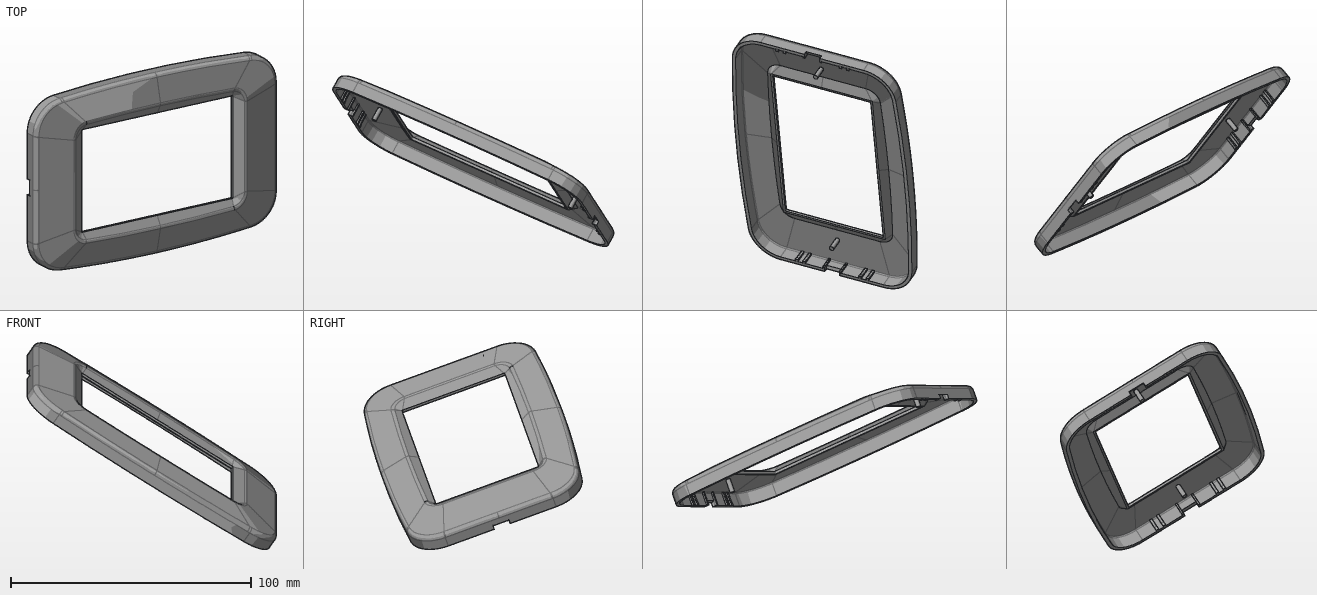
import math

import cadquery as cq

TURN_ABOUT_Y = 33.4
TURN_ABOUT_X = 20.0
FRAME_CENTRE = (-1.41, 0.7, -2.16)

HALF_LENGTH = 60.5
HALF_HEIGHT = 40.0
HALF_STRAIGHT = 23.9
CORNER_RADIUS = 14.15
SKIRT_TOP = 6.2
SKIRT_FILLET = 2.0
WALL = 1.55

RIM_HALF_LENGTH = 42.6
RIM_HALF_HEIGHT = 27.15
RIM_HALF_STRAIGHT = 19.8
RIM_CORNER_RADIUS = 6.4
RIM_HEIGHT = 9.35
RIM_FILLET = 1.9

WINDOW_HALF_LENGTH = 37.65
WINDOW_HALF_HEIGHT = 22.75
WINDOW_CORNER_RADIUS = 0.3
LIP_TOP = 6.8
LIP_BOTTOM = 5.6
LIP_WIDTH = 0.9

CAVITY_WALL_TOP = 5.85
CAVITY_FILLET = 0.5
RIDGE_HEIGHT = 7.7

NOTCH_WIDTH = 7.0
NOTCH_OUTER_DEPTH = 1.8
NOTCH_INNER_DEPTH = 2.3

LEVEL_TOLERANCE = 0.01

RIB_DEPTH = 0.7
RIB_ROOT = 0.3
RIB_FOOT_HEIGHT = 1.8
RIB_FOOT_DEPTH = 1.0
SNAP_RIB_WIDTH = 1.2
SNAP_RIB_OFFSETS = (13.0, 16.4)
NOTCH_RIB_WIDTH = 0.8

POST_OFFSET = 47.7
POST_DIAMETER = 2.0
POST_BOTTOM = 1.4


def bowed_outline(half_length, half_height, half_straight, radius, height):
    """Closed outline with straight short sides, round corners and bowed long sides.

    The bow is the arc that meets both corner arcs smoothly; every side is split at its middle.
    """
    corner_x = half_length - radius
    rise = half_height - half_straight
    bow_radius = (corner_x**2 + rise**2 - radius**2) / (2 * (rise - radius))
    bow_centre_y = half_height - bow_radius
    end_angle = math.atan2(half_straight - bow_centre_y, corner_x)
    bow_angle = (end_angle + math.pi / 2) / 2
    corner_angle = end_angle / 2

    def on_corner(angle):
        return corner_x + radius * math.cos(angle), half_straight + radius * math.sin(angle)

    def on_bow(angle):
        return bow_radius * math.cos(angle), bow_centre_y + bow_radius * math.sin(angle)

    bow_end = on_corner(end_angle)
    bow_mid = on_bow(bow_angle)
    corner_mid = on_corner(corner_angle)

    def signed(point, x_sign, y_sign):
        return point[0] * x_sign, point[1] * y_sign

    return (
        cq.Workplane("XY", origin=(0, 0, height))
        .moveTo(half_length, 0)
        .lineTo(half_length, half_straight)
        .threePointArc(corner_mid, bow_end)
        .threePointArc(bow_mid, (0, half_height))
        .threePointArc(signed(bow_mid, -1, 1), signed(bow_end, -1, 1))
        .threePointArc(signed(corner_mid, -1, 1), (-half_length, half_straight))
        .lineTo(-half_length, 0)
        .lineTo(-half_length, -half_straight)
        .threePointArc(signed(corner_mid, -1, -1), signed(bow_end, -1, -1))
        .threePointArc(signed(bow_mid, -1, -1), (0, -half_height))
        .threePointArc(signed(bow_mid, 1, -1), signed(bow_end, 1, -1))
        .threePointArc(signed(corner_mid, 1, -1), (half_length, -half_straight))
        .close()
        .val()
    )


def window_outline(growth, height):
    """Rectangle with small round corners, its sides split like those of the bowed outline."""
    x = WINDOW_HALF_LENGTH + growth
    y = WINDOW_HALF_HEIGHT + growth
    r = WINDOW_CORNER_RADIUS
    return (
        cq.Workplane("XY", origin=(0, 0, height))
        .moveTo(x, 0)
        .lineTo(x, y - r)
        .radiusArc((x - r, y), -r)
        .lineTo(0, y)
        .lineTo(r - x, y)
        .radiusArc((-x, y - r), -r)
        .lineTo(-x, 0)
        .lineTo(-x, r - y)
        .radiusArc((r - x, -y), -r)
        .lineTo(0, -y)
        .lineTo(x - r, -y)
        .radiusArc((x, r - y), -r)
        .close()
        .val()
    )


def skirt_outline(inset, height):
    """Outline of the skirt, moved inwards by an inset."""
    return bowed_outline(
        HALF_LENGTH - inset, HALF_HEIGHT - inset, HALF_STRAIGHT, CORNER_RADIUS - inset, height
    )


def rim_outline(height):
    """Outline of the raised rim."""
    return bowed_outline(
        RIM_HALF_LENGTH, RIM_HALF_HEIGHT, RIM_HALF_STRAIGHT, RIM_CORNER_RADIUS, height
    )


def ruled_solid(*outlines):
    """Solid with straight-ruled sides between successive outlines."""
    return cq.Workplane(cq.Solid.makeLoft(list(outlines), True))


def level_edges(height):
    """Selector of the edges lying at one height."""
    return cq.selectors.BoxSelector(
        (-HALF_LENGTH, -HALF_HEIGHT, height - LEVEL_TOLERANCE),
        (HALF_LENGTH, HALF_HEIGHT, height + LEVEL_TOLERANCE),
    )


def outer_body():
    """Skirt and sloping face, with the window and its funnel cut out and the edges rounded."""
    body = ruled_solid(skirt_outline(0, 0), skirt_outline(0, SKIRT_TOP), rim_outline(RIM_HEIGHT))
    funnel = ruled_solid(window_outline(0, 0), window_outline(0, LIP_TOP), rim_outline(RIM_HEIGHT))
    body = body.cut(funnel, clean=False)
    body = body.edges(level_edges(SKIRT_TOP)).fillet(SKIRT_FILLET)
    return body.edges(level_edges(RIM_HEIGHT)).fillet(RIM_FILLET)


def cavity():
    """Space under the skin; a plug around the window leaves the lip and the funnel wall."""
    space = ruled_solid(
        skirt_outline(WALL, 0), skirt_outline(WALL, CAVITY_WALL_TOP), rim_outline(RIDGE_HEIGHT)
    )
    space = space.edges(level_edges(CAVITY_WALL_TOP)).fillet(CAVITY_FILLET)
    plug = ruled_solid(window_outline(LIP_WIDTH, LIP_BOTTOM), rim_outline(RIDGE_HEIGHT))
    return space.cut(plug, clean=False)


def notch(side):
    """Notch through the skirt, its roof rising from the outer to the inner face of the wall."""
    wall = HALF_LENGTH - WALL
    roof_slope = (NOTCH_INNER_DEPTH - NOTCH_OUTER_DEPTH) / WALL
    inner_x = wall - WALL
    outer_x = HALF_LENGTH + WALL
    return (
        cq.Workplane("XZ", origin=(0, NOTCH_WIDTH / 2, 0))
        .moveTo(side * inner_x, -WALL)
        .lineTo(side * inner_x, NOTCH_INNER_DEPTH + roof_slope * WALL)
        .lineTo(side * outer_x, NOTCH_OUTER_DEPTH - roof_slope * WALL)
        .lineTo(side * outer_x, -WALL)
        .close()
        .extrude(NOTCH_WIDTH)
    )


def rib(side, offset, width, foot_depth):
    """Upright rib on a short side, reaching the skin; its foot may stand out further."""
    wall = HALF_LENGTH - WALL
    return (
        cq.Workplane("XZ", origin=(0, offset + width / 2, 0))
        .moveTo(side * (wall + RIB_ROOT), 0)
        .lineTo(side * (wall - foot_depth), 0)
        .lineTo(side * (wall - RIB_DEPTH), RIB_FOOT_HEIGHT)
        .lineTo(side * (wall - RIB_DEPTH), CAVITY_WALL_TOP + RIB_ROOT)
        .lineTo(side * (wall + RIB_ROOT), CAVITY_WALL_TOP + RIB_ROOT)
        .close()
        .extrude(width)
    )


def side_ribs(side):
    """All ribs of one short side: the snap ribs and the two beside the notch."""
    ribs_wanted = [(place, SNAP_RIB_WIDTH, RIB_FOOT_DEPTH) for place in SNAP_RIB_OFFSETS]
    ribs_wanted.append(((NOTCH_WIDTH + NOTCH_RIB_WIDTH) / 2, NOTCH_RIB_WIDTH, RIB_DEPTH))
    ribs = cq.Workplane("XY")
    for offset, width, foot_depth in ribs_wanted:
        for sign in (-1, 1):
            ribs = ribs.add(rib(side, sign * offset, width, foot_depth))
    return ribs.combine()


def post(side):
    """Round post hanging from the skin at the middle of a short side."""
    return (
        cq.Workplane("XY", origin=(side * POST_OFFSET, 0, POST_BOTTOM))
        .circle(POST_DIAMETER / 2)
        .extrude(RIDGE_HEIGHT - POST_BOTTOM)
    )


frame = outer_body().cut(cavity(), clean=False)
for end in (-1, 1):
    frame = frame.cut(notch(end), clean=False)
    frame = frame.union(side_ribs(end), clean=False)
    frame = frame.union(post(end), clean=False)

result = (
    frame.rotate((0, 0, 0), (0, 1, 0), TURN_ABOUT_Y)
    .rotate((0, 0, 0), (1, 0, 0), TURN_ABOUT_X)
    .translate(FRAME_CENTRE)
)